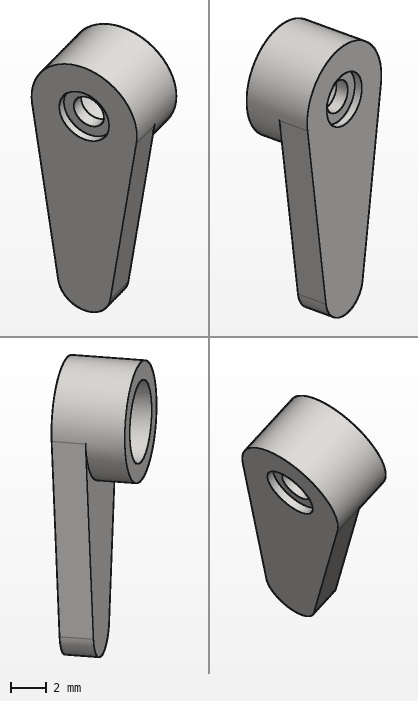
import cadquery as cq
import math

total_height = 17.49
hub_diameter = 7.0
hub_depth = 4.3
tip_radius = 1.75
arm_thickness = 2.0
hole_diameter = 2.0
counterbore_diameter = 3.3
counterbore_depth = 0.5
socket_diameter = 4.8
hole_length = 0.8

hub_radius = hub_diameter / 2
socket_start = counterbore_depth + hole_length
center_distance = total_height - hub_radius - tip_radius

tangent_angle = math.asin((hub_radius - tip_radius) / center_distance)


def disc(diameter, start, end):
    """Cylinder on the hub axis between two distances behind the front face."""
    return cq.Workplane("XZ", origin=(0, start, 0)).circle(diameter / 2).extrude(start - end)


def tangent_point(radius, center_z):
    """Point on the +X side where the arm's straight side meets a circle."""
    x = radius * math.cos(tangent_angle)
    z = center_z - radius * math.sin(tangent_angle)
    return x, z


def arm():
    """Tapered arm with round ends, hanging from the hub axis."""
    hub_x, hub_z = tangent_point(hub_radius, 0)
    tip_x, tip_z = tangent_point(tip_radius, -center_distance)
    return (
        cq.Workplane("XZ")
        .moveTo(hub_x, hub_z)
        .lineTo(tip_x, tip_z)
        .threePointArc((0, -center_distance - tip_radius), (-tip_x, tip_z))
        .lineTo(-hub_x, hub_z)
        .threePointArc((0, hub_radius), (hub_x, hub_z))
        .close()
        .extrude(-arm_thickness)
    )


result = disc(hub_diameter, 0, hub_depth).union(arm())

result = result.cut(disc(counterbore_diameter, 0, counterbore_depth))
result = result.cut(disc(hole_diameter, 0, hub_depth))
result = result.cut(disc(socket_diameter, socket_start, hub_depth))